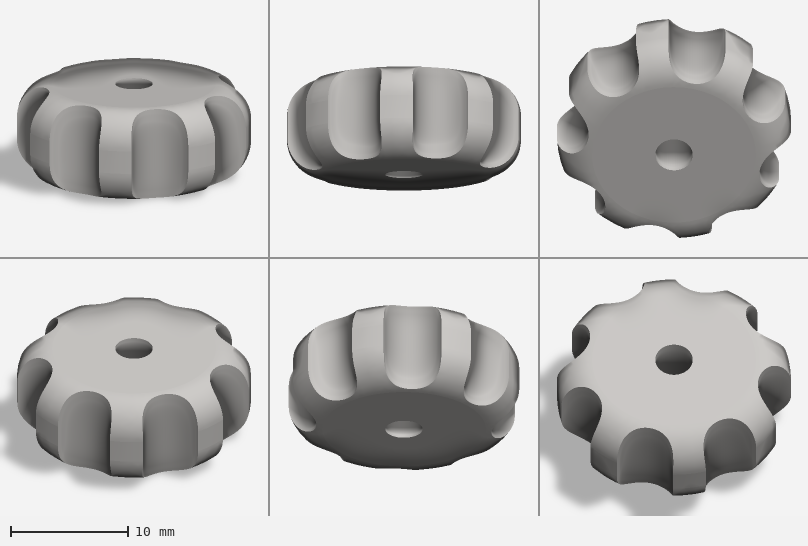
import cadquery as cq
import math

overall_width = 19.38
thickness = 8.0
bore_diameter = 3.2
edge_radius = 3.0
scallop_count = 8
scallop_ratio = 0.25

tip_ratio = 1 - scallop_ratio**2 / 2
knob_radius = overall_width / 2 / tip_ratio
scallop_radius = knob_radius * scallop_ratio


def rounded_disc():
    """Disc centred on the origin with both rims rounded."""
    disc = cq.Workplane("XY").circle(knob_radius).extrude(thickness / 2, both=True)
    return disc.edges().fillet(edge_radius)


def grip_scallops():
    """Full-height cylinders spaced evenly around the rim."""
    step = 2 * math.pi / scallop_count
    centers = [
        (knob_radius * math.cos(i * step), knob_radius * math.sin(i * step))
        for i in range(scallop_count)
    ]
    profile = cq.Workplane("XY").pushPoints(centers).circle(scallop_radius)
    return profile.extrude(thickness, both=True)


def bore():
    """Central through hole."""
    return cq.Workplane("XY").circle(bore_diameter / 2).extrude(thickness, both=True)


result = rounded_disc().cut(grip_scallops()).cut(bore())